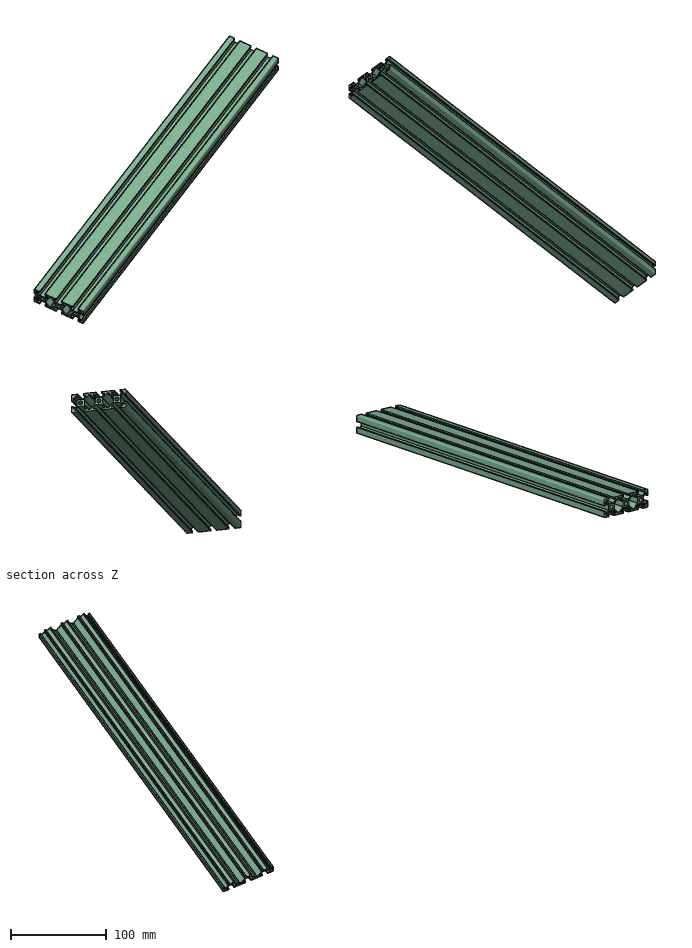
import cadquery as cq
import math

CELL = 20.0
CELL_COUNT = 3
LENGTH = 400.0
WIDTH = CELL * CELL_COUNT
HALF_CELL = CELL / 2
CORNER_RADIUS = 1.5

SLOT_OPENING = 6.2
SLOT_INNER_WIDTH = 12.0
LIP_THICKNESS = 1.8
CORE_WIDTH = 7.8

HOLLOW_WIDTH = 11.8
HOLLOW_ROOF_WIDTH = 1.6
ROOF_THICKNESS = 2.0

WEB_THICKNESS = 1.5
BORE_DIAMETER = 4.2

HALF_CORE = CORE_WIDTH / 2
LIP_INSIDE = HALF_CELL - LIP_THICKNESS
WEB_OFFSET = WEB_THICKNESS / math.sqrt(2)

CELL_CENTERS = [(i - (CELL_COUNT - 1) / 2) * CELL for i in range(CELL_COUNT)]
HOLLOW_CENTERS = [x + HALF_CELL for x in CELL_CENTERS[:-1]]


def extrude_section(sketch):
    """Extrude an XZ section over the full length, centered on Y = 0."""
    return sketch.extrude(LENGTH / 2, both=True)


def make_bar():
    bar = extrude_section(cq.Workplane("XZ").rect(WIDTH, CELL))
    return bar.edges("|Y").fillet(CORNER_RADIUS)


def make_slot(cell_x, angle):
    """T-slot opening upward, turned by angle about the axis of its cell."""
    half_opening = SLOT_OPENING / 2
    half_inner = SLOT_INNER_WIDTH / 2
    half_floor = HALF_CORE - WEB_OFFSET
    right_side = [
        (half_floor, HALF_CORE),
        (half_inner, half_inner + WEB_OFFSET),
        (half_inner, LIP_INSIDE),
        (half_opening, LIP_INSIDE),
        (half_opening, HALF_CELL),
    ]
    left_side = [(-x, z) for x, z in reversed(right_side)]
    slot = extrude_section(cq.Workplane("XZ").polyline(right_side + left_side).close())
    return slot.rotate((0, 0, 0), (0, 1, 0), angle).translate((cell_x, 0, 0))


def make_hollow(hollow_x):
    """Octagonal chamber between two neighboring cores and their webs."""
    half_width = HOLLOW_WIDTH / 2
    half_roof = HOLLOW_ROOF_WIDTH / 2
    roof_z = HALF_CELL - ROOF_THICKNESS
    half_side = roof_z - (half_width - half_roof)
    outline = [
        (half_width, -half_side),
        (half_width, half_side),
        (half_roof, roof_z),
        (-half_roof, roof_z),
        (-half_width, half_side),
        (-half_width, -half_side),
        (-half_roof, -roof_z),
        (half_roof, -roof_z),
    ]
    hollow = extrude_section(cq.Workplane("XZ").polyline(outline).close())
    return hollow.translate((hollow_x, 0, 0))


def make_bore(cell_x):
    return extrude_section(cq.Workplane("XZ").center(cell_x, 0).circle(BORE_DIAMETER / 2))


result = make_bar()

for cell_x in CELL_CENTERS:
    result = result.cut(make_slot(cell_x, 0))
    result = result.cut(make_slot(cell_x, 180))
    result = result.cut(make_bore(cell_x))

result = result.cut(make_slot(CELL_CENTERS[0], -90))
result = result.cut(make_slot(CELL_CENTERS[-1], 90))

for hollow_x in HOLLOW_CENTERS:
    result = result.cut(make_hollow(hollow_x))